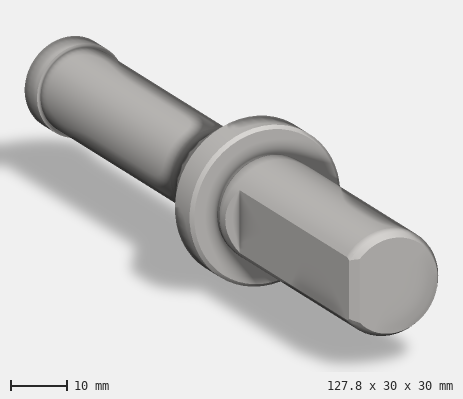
import cadquery as cq
import math

total_length = 127.8
tip_length = 4.9
flare_start = 56.1
flare_end = 60.5
collar_end = 77.9
neck_end = 78.7
shank_start = 79.1

tip_diameter = 17.5
body_diameter = 16.1
collar_diameter = 30.0
neck_diameter = 19.7
shank_diameter = 19.9

cone_angle = math.radians(28)
collar_chamfer = 0.6
end_cone_length = 1.3
end_cone_angle = math.radians(30)
end_blend_length = 1.1

flat_offset = 8.0
flat_start = 83.3
flat_end_bevel = 1.4
cutter_clearance = 0.6

tip_radius = tip_diameter / 2
body_radius = body_diameter / 2
collar_radius = collar_diameter / 2
neck_radius = neck_diameter / 2
shank_radius = shank_diameter / 2


def make_turned_body():
    """Revolve the half profile about X; both blends are tangent arcs."""
    flare_radius = body_radius + (flare_end - flare_start) * math.tan(cone_angle / 2)
    cone_end = flare_end + (collar_radius - flare_radius) / math.tan(cone_angle)

    end_cone_start = total_length - end_cone_length
    end_cone_radius = shank_radius - end_blend_length * math.tan(end_cone_angle / 2)
    end_radius = end_cone_radius - end_cone_length * math.tan(end_cone_angle)

    profile = (
        cq.Workplane("XY")
        .lineTo(0, tip_radius)
        .lineTo(tip_length, tip_radius)
        .lineTo(tip_length, body_radius)
        .lineTo(flare_start, body_radius)
        .tangentArcPoint((flare_end, flare_radius), relative=False)
        .lineTo(cone_end, collar_radius)
        .lineTo(collar_end - collar_chamfer, collar_radius)
        .lineTo(collar_end, collar_radius - collar_chamfer)
        .lineTo(collar_end, neck_radius)
        .lineTo(neck_end, neck_radius)
        .lineTo(shank_start, shank_radius)
        .lineTo(end_cone_start - end_blend_length, shank_radius)
        .tangentArcPoint((end_cone_start, end_cone_radius), relative=False)
        .lineTo(total_length, end_radius)
        .lineTo(total_length, 0)
        .close()
    )
    return profile.revolve(360, (0, 0, 0), (1, 0, 0))


def make_flat_cutter():
    """Block that leaves the flat, its 45 degree run-in and its bevelled end."""
    outer_offset = shank_radius + cutter_clearance
    run_in = outer_offset - flat_offset
    return (
        cq.Workplane("XY")
        .moveTo(flat_start - run_in, -outer_offset)
        .lineTo(flat_start, -flat_offset)
        .lineTo(total_length - flat_end_bevel, -flat_offset)
        .lineTo(total_length, -flat_offset + flat_end_bevel)
        .lineTo(total_length, -outer_offset)
        .close()
        .extrude(shank_radius, both=True)
    )


result = make_turned_body().cut(make_flat_cutter())